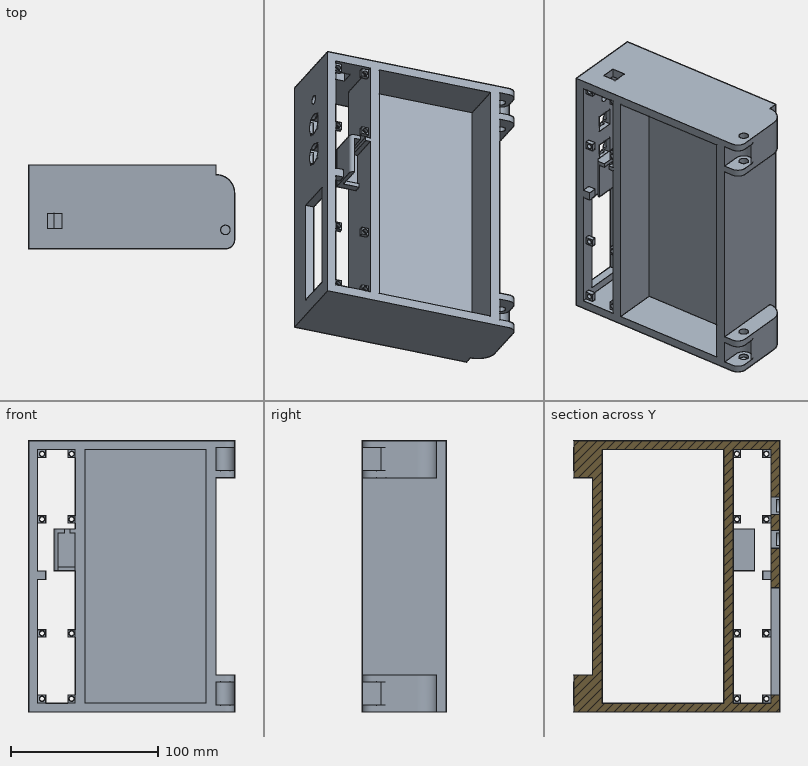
import cadquery as cq

WIDTH = 139.8
DEPTH = 57.0
HEIGHT = 184.2
WALL = 6.0

BODY_WIDTH = 127.0
HINGE_REACH = WIDTH - BODY_WIDTH
HINGE_HEIGHT = 25.2
LUG_THICKNESS = 4.8
HINGE_BACK_STEP = 6.6
PIN_X = BODY_WIDTH + HINGE_REACH / 2
PIN_Y = 12.9
PIN_DIAMETER = 6.5
PIN_BOTTOM = LUG_THICKNESS / 2
KNUCKLE_RADIUS = HINGE_REACH / 2

BAY_RIGHT = 31.5
POCKET_LEFT = 38.1
POCKET_RIGHT = 120.2
POCKET_DEPTH = 31.7
REAR_RECESS_Y = POCKET_DEPTH + WALL

CONTROL_Y = 24.0
INDICATOR_Z = 158.7
INDICATOR_DIAMETER = 6.0
BUTTON_HEIGHTS = (117.1, 140.0)
BUTTON_SIZE = 11.8
BUTTON_RECESS_DIAMETER = 14.5
BUTTON_RECESS_DEPTH = 2.4
WINDOW_Y = (10.0, 37.8)
WINDOW_Z = (11.6, 84.3)
TOP_PORT_X = (12.9, 22.7)
TOP_PORT_Y = (14.0, 24.1)

POST_FRONT = 3.0
POST_BACK = WALL
POST_SIZE = 5.2
POST_WALL_GAP = 1.0
POST_HOLE_DIAMETER = 3.3
POST_HOLE_X = (9.0, 29.1)
POST_HOLE_Z = (9.0, 53.4, 130.7, 175.1)

HOLDER_LEFT = 17.1
HOLDER_DEPTH = 24.7
HOLDER_Z = (95.8, 124.3)
HOLDER_WALL = 2.8
HOLDER_SLOT_X = (24.1, 28.0)

STOP_RIGHT = 11.6
STOP_DEPTH = WALL
STOP_Z = (89.9, 95.8)


def block(x_range, y_range, z_range):
    """Axis-aligned box between the given limits."""
    size = [high - low for low, high in (x_range, y_range, z_range)]
    corner = (x_range[0], y_range[0], z_range[0])
    return cq.Workplane("XY").box(*size, centered=False).translate(corner)


def upright_cylinder(x, y, diameter, z_range):
    plane = cq.Workplane("XY", origin=(x, y, z_range[0]))
    return plane.circle(diameter / 2).extrude(z_range[1] - z_range[0])


def hinge(bottom):
    """Two lugs joined at the back, with a round-ended gap for the mating knuckle."""
    top = bottom + HINGE_HEIGHT
    lugs = block((POCKET_RIGHT, WIDTH), (0, DEPTH - HINGE_BACK_STEP), (bottom, top))
    lugs = lugs.edges("|Z and >X and <Y").fillet(KNUCKLE_RADIUS)
    lugs = lugs.edges("|Z and >X and >Y").fillet(HINGE_REACH)
    gap_z = (bottom + LUG_THICKNESS, top - LUG_THICKNESS)
    gap = block((BODY_WIDTH, WIDTH), (0, PIN_Y), gap_z)
    gap = gap.union(upright_cylinder(PIN_X, PIN_Y, 2 * KNUCKLE_RADIUS, gap_z))
    return lugs.cut(gap)


def left_wall_hole(diameter, z, depth):
    plane = cq.Workplane("YZ", origin=(0, CONTROL_Y, z))
    return plane.circle(diameter / 2).extrude(depth)


def button_opening(z):
    """Square hole through the left wall with a shallow round recess outside."""
    half = BUTTON_SIZE / 2
    square = block((0, WALL), (CONTROL_Y - half, CONTROL_Y + half), (z - half, z + half))
    return square.union(left_wall_hole(BUTTON_RECESS_DIAMETER, z, BUTTON_RECESS_DEPTH))


def holder():
    """Box on the divider with a rounded outer edge, an open front and a slotted top."""
    bottom, top = HOLDER_Z
    shell = block((HOLDER_LEFT, BAY_RIGHT), (0, HOLDER_DEPTH), HOLDER_Z)
    shell = shell.edges("|Z and <X and <Y").fillet(HOLDER_WALL)
    inside_x = (HOLDER_LEFT + HOLDER_WALL, BAY_RIGHT)
    inside_y = (0, HOLDER_DEPTH - HOLDER_WALL)
    shell = shell.cut(block(inside_x, inside_y, (bottom + HOLDER_WALL, top - HOLDER_WALL)))
    shell = shell.cut(block(HOLDER_SLOT_X, inside_y, (top - HOLDER_WALL, top)))
    open_y = (0, HOLDER_DEPTH - 2 * HOLDER_WALL)
    return shell.cut(block(inside_x, open_y, (bottom, bottom + HOLDER_WALL)))


def post_span(hole, low_wall, high_wall):
    """Limits of a post along one axis; a post beside a wall reaches that wall."""
    low = hole - POST_SIZE / 2
    high = hole + POST_SIZE / 2
    if low - low_wall < POST_WALL_GAP:
        return (low_wall, high)
    if high_wall - high < POST_WALL_GAP:
        return (low, high_wall)
    return (low, high)


def add_post(base, hole_x, hole_z):
    """Join a drilled square post to the base."""
    post_x = post_span(hole_x, WALL, BAY_RIGHT)
    post_z = post_span(hole_z, WALL, HEIGHT - WALL)
    post = block(post_x, (POST_FRONT, POST_BACK), post_z)
    drill = cq.Workplane("XZ", origin=(hole_x, POST_BACK, hole_z))
    drill = drill.circle(POST_HOLE_DIAMETER / 2).extrude(POST_BACK - POST_FRONT)
    return base.union(post.cut(drill))


body = block((0, BODY_WIDTH), (0, DEPTH), (0, HEIGHT))
for hinge_bottom in (0, HEIGHT - HINGE_HEIGHT):
    body = body.union(hinge(hinge_bottom))
body = body.cut(upright_cylinder(PIN_X, PIN_Y, PIN_DIAMETER, (PIN_BOTTOM, HEIGHT)))

inner_z = (WALL, HEIGHT - WALL)
body = body.cut(block((WALL, BAY_RIGHT), (0, DEPTH), inner_z))
body = body.cut(block((POCKET_LEFT, POCKET_RIGHT), (0, POCKET_DEPTH), inner_z))
body = body.cut(block((WALL, POCKET_RIGHT), (REAR_RECESS_Y, DEPTH), inner_z))

body = body.cut(left_wall_hole(INDICATOR_DIAMETER, INDICATOR_Z, WALL))
for button_z in BUTTON_HEIGHTS:
    body = body.cut(button_opening(button_z))
body = body.cut(block((0, WALL), WINDOW_Y, WINDOW_Z))
body = body.cut(block(TOP_PORT_X, TOP_PORT_Y, (HEIGHT - WALL, HEIGHT)))

body = body.union(holder())
body = body.union(block((WALL, STOP_RIGHT), (0, STOP_DEPTH), STOP_Z))
for hole_x in POST_HOLE_X:
    for hole_z in POST_HOLE_Z:
        body = add_post(body, hole_x, hole_z)

result = body